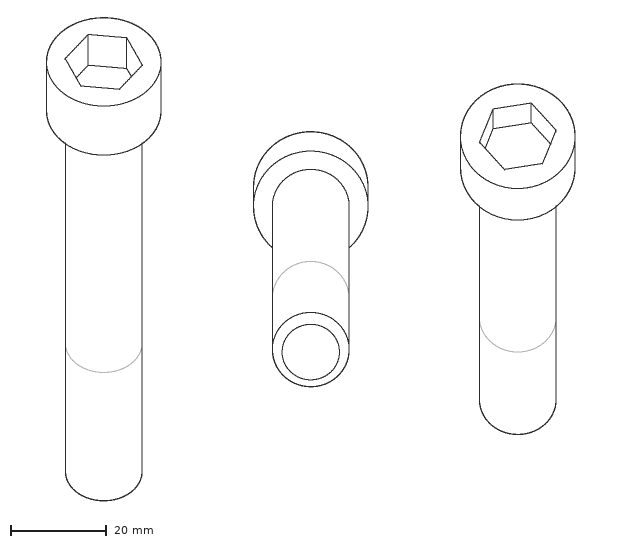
import cadquery as cq
import math

total_length = 136.0
head_diameter = 24.0
shank_diameter = 16.0
head_height = shank_diameter
shank_length = total_length - head_height

socket_across_flats = 14.0
socket_across_corners = socket_across_flats / math.cos(math.pi / 6)
socket_depth = 10.0

thread_length = 44.0
tip_chamfer = 2.0


def make_shank_section(bottom, length):
    """Cylinder of the shank diameter, rising from the height `bottom`."""
    return (
        cq.Workplane("XY", origin=(0, 0, bottom))
        .circle(shank_diameter / 2)
        .extrude(length)
    )


def make_head():
    """Cylindrical head with the hexagonal socket sunk into its top."""
    head = (
        cq.Workplane("XY", origin=(0, 0, shank_length))
        .circle(head_diameter / 2)
        .extrude(head_height)
    )
    socket = (
        cq.Workplane("XY", origin=(0, 0, total_length - socket_depth))
        .polygon(6, socket_across_corners)
        .extrude(socket_depth)
    )
    return head.cut(socket)


threaded_end = make_shank_section(0, thread_length).faces("<Z").chamfer(tip_chamfer)
plain_shank = make_shank_section(thread_length, shank_length - thread_length)

result = threaded_end.union(plain_shank, clean=False).union(make_head(), clean=False)